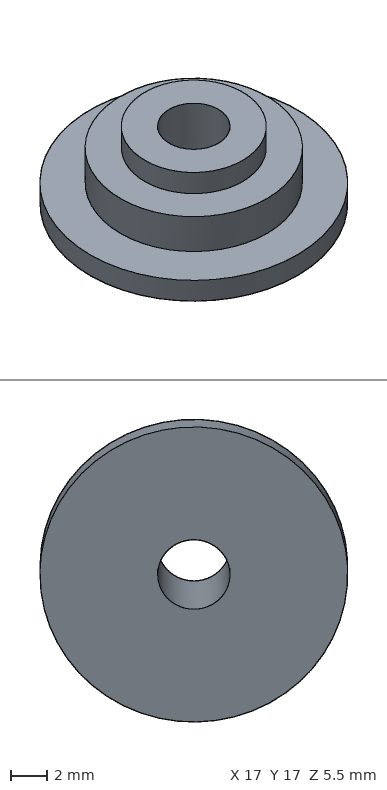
import cadquery as cq

flange_diameter = 17.0
shoulder_diameter = 12.0
neck_diameter = 8.0
bore_diameter = 4.0

flange_top = 1.5
shoulder_top = 4.0
total_height = 5.5


def cylinder(diameter, height):
    """Upright cylinder on the Z axis, standing on the base plane."""
    return cq.Workplane("XY").circle(diameter / 2).extrude(height)


body = cylinder(flange_diameter, flange_top)
body = body.union(cylinder(shoulder_diameter, shoulder_top))
body = body.union(cylinder(neck_diameter, total_height))

result = body.cut(cylinder(bore_diameter, total_height))